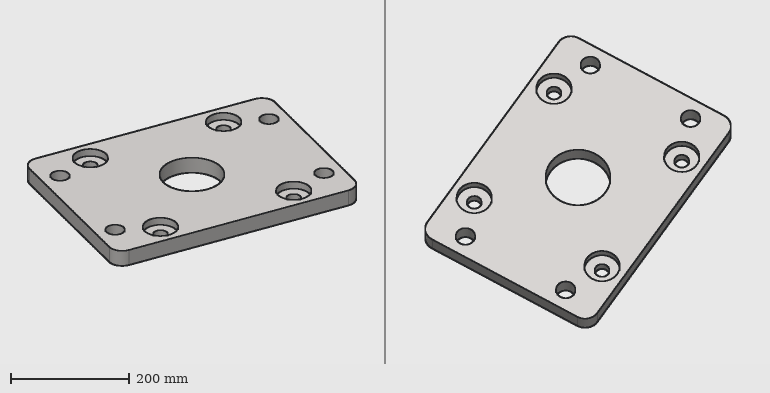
import cadquery as cq

width = 340.0
length = 470.0
thickness = 30.0
corner_radius = 25.0

bore_diameter = 110.0

mount_diameter = 33.0
mount_spacing_x = 200.0
mount_spacing_y = 400.0

bolt_diameter = 25.0
bolt_spacing = 255.0
counterbore_diameter = 60.0
counterbore_depth = 14.0


def top_rectangle(body, spacing_x, spacing_y):
    """Select the four corners of a centred rectangle on the top face."""
    top = body.faces(">Z").workplane(origin=(0, 0, 0))
    return top.rect(spacing_x, spacing_y, forConstruction=True).vertices()


plate = cq.Workplane("XY").box(width, length, thickness).edges("|Z").fillet(corner_radius)
plate = plate.faces(">Z").workplane(origin=(0, 0, 0)).hole(bore_diameter)
plate = top_rectangle(plate, mount_spacing_x, mount_spacing_y).hole(mount_diameter)
result = top_rectangle(plate, bolt_spacing, bolt_spacing).cboreHole(
    bolt_diameter, counterbore_diameter, counterbore_depth
)